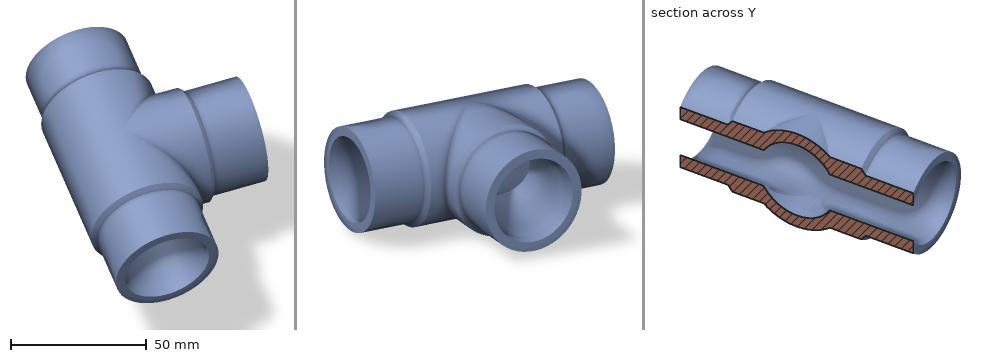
import cadquery as cq

end_reach = 50.0
spigot_diameter = 40.0
body_diameter = 43.7
bore_diameter = 32.7
spigot_length = 20.5

spigot_radius = spigot_diameter / 2
body_radius = body_diameter / 2
bore_radius = bore_diameter / 2
foot_reach = end_reach - spigot_length
shoulder = body_radius - spigot_radius
body_reach = foot_reach - shoulder


def make_run():
    """Solid run along X: thick body with a shoulder and spigot at each end."""
    return (
        cq.Workplane("XY")
        .moveTo(-end_reach, 0)
        .lineTo(-end_reach, -spigot_radius)
        .lineTo(-foot_reach, -spigot_radius)
        .lineTo(-body_reach, -body_radius)
        .lineTo(body_reach, -body_radius)
        .lineTo(foot_reach, -spigot_radius)
        .lineTo(end_reach, -spigot_radius)
        .lineTo(end_reach, 0)
        .close()
        .revolve(360, (0, 0, 0), (1, 0, 0))
    )


def make_branch():
    """Solid branch along +Y, from the run's axis to its open end."""
    return (
        cq.Workplane("XY")
        .lineTo(body_radius, 0)
        .lineTo(body_radius, body_reach)
        .lineTo(spigot_radius, foot_reach)
        .lineTo(spigot_radius, end_reach)
        .lineTo(0, end_reach)
        .close()
        .revolve(360, (0, 0, 0), (0, 1, 0))
    )


run_bore = cq.Workplane("YZ").circle(bore_radius).extrude(end_reach, both=True)
branch_bore = cq.Workplane("XZ").circle(bore_radius).extrude(-end_reach)

result = make_run().union(make_branch()).cut(run_bore).cut(branch_bore)